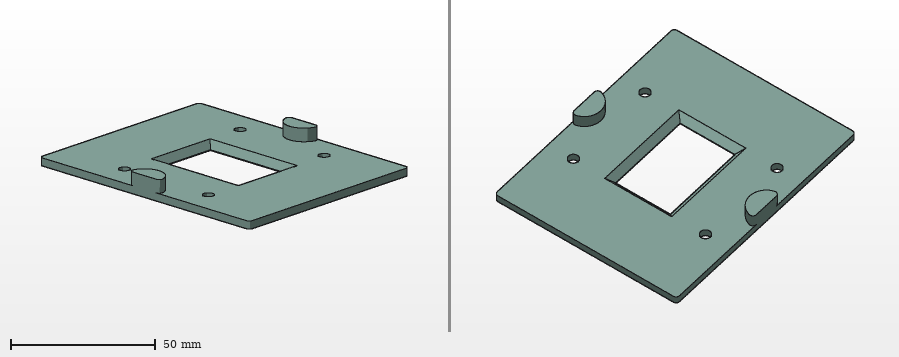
import cadquery as cq

plate_length = 100
plate_width = 80
plate_thickness = 3
corner_radius = 1.5

overall_height = 8
tab_height = overall_height - plate_thickness
tab_radius = 7.3
tab_corner_radius = 1.5

window_length = 36
window_width = 24
lip_height = 0.3
flare = plate_thickness - lip_height

hole_diameter = 4.2
hole_spacing_x = 40
hole_spacing_y = 58


def make_plate():
    plate = cq.Workplane("XY").box(
        plate_length, plate_width, plate_thickness, centered=(True, True, False)
    )
    return plate.edges("|Z").fillet(corner_radius)


def make_front_tab():
    """Half disc with its flat face flush with the -Y edge and rounded ends."""
    edge_y = -plate_width / 2
    return (
        cq.Workplane("XY", origin=(0, edge_y, plate_thickness))
        .moveTo(-tab_radius, 0)
        .threePointArc((0, tab_radius), (tab_radius, 0))
        .close()
        .extrude(tab_height)
        .edges("|Z")
        .fillet(tab_corner_radius)
    )


def make_window():
    lip = cq.Workplane("XY").rect(window_length, window_width).extrude(plate_thickness)
    flared_opening = (
        cq.Workplane("XY", origin=(0, 0, lip_height))
        .rect(window_length, window_width)
        .workplane(offset=flare)
        .rect(window_length + 2 * flare, window_width + 2 * flare)
        .loft(ruled=True)
    )
    return lip.union(flared_opening)


def make_holes():
    return (
        cq.Workplane("XY")
        .rarray(hole_spacing_x, hole_spacing_y, 2, 2)
        .circle(hole_diameter / 2)
        .extrude(plate_thickness)
    )


front_tab = make_front_tab()
back_tab = front_tab.mirror("XZ")

result = make_plate().cut(make_window()).cut(make_holes()).union(front_tab).union(back_tab)